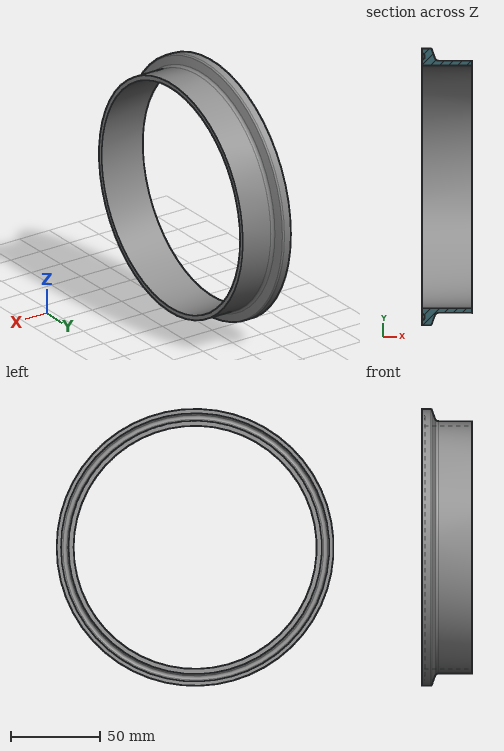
import cadquery as cq
import math

length = 28.0
flange_radius = 77.5
tube_radius = 70.7
bore_radius = 67.9

rim_width = 4.6
taper_angle = math.radians(20)
rim_round = 1.0
neck_fillet = 2.0

groove_outer_radius = 75.0
groove_width = 4.2
groove_center_radius = groove_outer_radius - groove_width / 2
groove_bottom_radius = 1.5
groove_bottom_width = 2.3


def arc_point(center, radius, angle):
    """Point on an arc, with the angle measured from +X towards the rim."""
    x, r = center
    return (x + radius * math.cos(angle), r + radius * math.sin(angle))


def make_ferrule():
    """Revolve the tube and flange section, without the groove."""
    rim_center = (rim_width, flange_radius - rim_round)
    rim_mid = arc_point(rim_center, rim_round, (math.pi / 2 + taper_angle) / 2)
    taper_outer = arc_point(rim_center, rim_round, taper_angle)

    neck_center_r = tube_radius + neck_fillet
    taper_inner_r = neck_center_r - neck_fillet * math.sin(taper_angle)
    taper_inner_x = taper_outer[0] + (taper_outer[1] - taper_inner_r) * math.tan(taper_angle)
    neck_center = (taper_inner_x + neck_fillet * math.cos(taper_angle), neck_center_r)
    neck_mid = arc_point(neck_center, neck_fillet, (math.pi + taper_angle + 1.5 * math.pi) / 2)

    section = (
        cq.Workplane("XY")
        .moveTo(0, bore_radius)
        .lineTo(0, flange_radius)
        .lineTo(rim_width, flange_radius)
        .threePointArc(rim_mid, taper_outer)
        .lineTo(taper_inner_x, taper_inner_r)
        .threePointArc(neck_mid, (neck_center[0], tube_radius))
        .lineTo(length, tube_radius)
        .lineTo(length, bore_radius)
        .close()
    )
    return section.revolve(360, (0, 0, 0), (1, 0, 0))


def make_groove():
    """Revolve the gasket groove section as a cutting ring."""
    half_width = groove_width / 2
    half_bottom = groove_bottom_width / 2
    wall_angle = math.asin(half_bottom / groove_bottom_radius)
    wall_depth = (half_width - half_bottom) * math.tan(wall_angle)
    depth = wall_depth + groove_bottom_radius * (1 - math.cos(wall_angle))

    section = (
        cq.Workplane("XY")
        .moveTo(0, groove_center_radius - half_width)
        .lineTo(wall_depth, groove_center_radius - half_bottom)
        .threePointArc((depth, groove_center_radius), (wall_depth, groove_center_radius + half_bottom))
        .lineTo(0, groove_center_radius + half_width)
        .close()
    )
    return section.revolve(360, (0, 0, 0), (1, 0, 0))


result = make_ferrule().cut(make_groove())